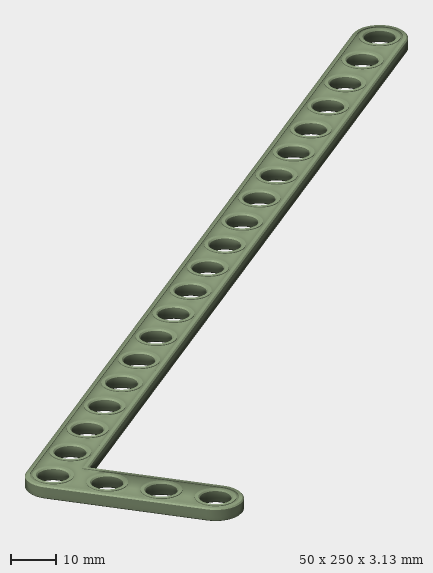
import cadquery as cq

pitch = 12.5
long_arm_holes = 20
short_arm_holes = 4
hole_diameter = 7.0
rim_width = 1.1
edge_chamfer = 0.3
recess_depth = 0.2

thickness = pitch / 4
ring_diameter = hole_diameter + 2 * rim_width
long_span = (long_arm_holes - 1) * pitch
short_span = (short_arm_holes - 1) * pitch

long_arm_centres = [(0, i * pitch) for i in range(long_arm_holes)]
short_arm_centres = [(i * pitch, 0) for i in range(1, short_arm_holes)]
hole_centres = long_arm_centres + short_arm_centres


def angle_prism(half_width, height):
    """L-shaped prism with round ends, reaching half_width either side of the hole lines."""
    return (
        cq.Workplane("XY")
        .moveTo(0, -half_width)
        .lineTo(short_span, -half_width)
        .threePointArc((short_span + half_width, 0), (short_span, half_width))
        .lineTo(half_width, half_width)
        .lineTo(half_width, long_span)
        .threePointArc((0, long_span + half_width), (-half_width, long_span))
        .lineTo(-half_width, 0)
        .radiusArc((0, -half_width), -half_width)
        .close()
        .extrude(height)
    )


def cylinders(diameter, height):
    """One upright cylinder at every hole centre."""
    return cq.Workplane("XY").pushPoints(hole_centres).circle(diameter / 2).extrude(height)


def recess():
    """Shallow pocket inside the outer rim, interrupted by the rings around the holes."""
    pocket = angle_prism(pitch / 2 - rim_width, recess_depth)
    return pocket.cut(cylinders(ring_diameter, recess_depth))


plate = angle_prism(pitch / 2, thickness)
plate = plate.cut(cylinders(hole_diameter, thickness))
plate = plate.faces("<Z or >Z").edges().chamfer(edge_chamfer)

result = plate.cut(recess().translate((0, 0, thickness - recess_depth)))